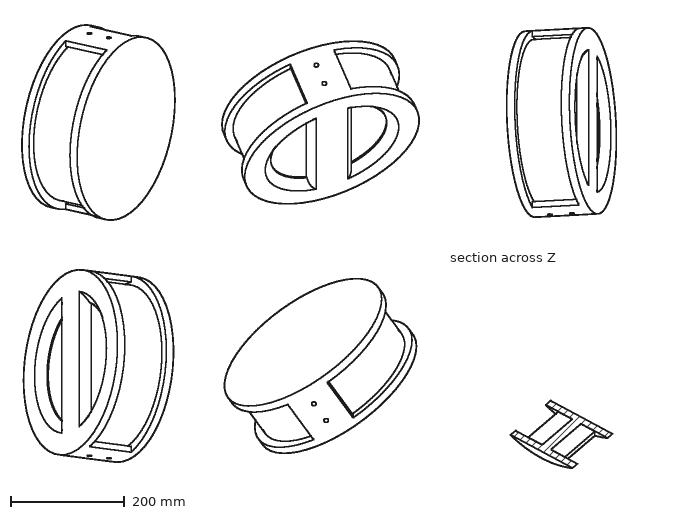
import cadquery as cq
import math

outer_diameter = 328.0
body_length = 114.0
flange_thickness = 14.8
drum_diameter = 297.2

bridge_width = 82.3
bridge_overlap = 0.3

pin_diameter = 8.0
pin_positions_x = (-18.7, 21.3)

opening_diameter = 251.0
seat_diameter = 217.8
cone_depth = 15.7
seat_step = 2.5

post_face_width = 59.5
post_base_width = 82.3
post_flank_radius = 16.5

outer_radius = outer_diameter / 2
drum_radius = drum_diameter / 2
front_face_x = -body_length / 2
drum_length = body_length - 2 * flange_thickness
cone_end_x = front_face_x + cone_depth
floor_x = cone_end_x + seat_step


def disc(diameter, start_x, length):
    """Solid cylinder along X from start_x."""
    return cq.Workplane("YZ", origin=(start_x, 0, 0)).circle(diameter / 2).extrude(length)


def make_spool():
    """Two flanges on a smaller drum."""
    drum = disc(drum_diameter, front_face_x, body_length)
    front_flange = disc(outer_diameter, front_face_x, flange_thickness)
    back_flange = disc(outer_diameter, body_length / 2 - flange_thickness, flange_thickness)
    return drum.union(front_flange).union(back_flange)


def make_bridge(side):
    """Flat-bottomed block on the drum, topped by the outer cylinder; side is +1 or -1 along Z."""
    underside = drum_radius - bridge_overlap
    height = outer_radius - underside
    block = cq.Workplane("XY").box(drum_length, bridge_width, height)
    block = block.translate((0, 0, side * (underside + height / 2)))
    return block.intersect(disc(outer_diameter, -drum_length / 2, drum_length))


def make_pin(pin_x):
    """Pin spanning the full height, with flat ends at the outer diameter."""
    pin = cq.Workplane("XY", origin=(pin_x, 0, -outer_radius))
    return pin.circle(pin_diameter / 2).extrude(outer_diameter)


def make_opening():
    """Conical recess ending in a short straight step."""
    profile = (
        cq.Workplane("XY")
        .moveTo(front_face_x, 0)
        .lineTo(front_face_x, opening_diameter / 2)
        .lineTo(cone_end_x, seat_diameter / 2)
        .lineTo(floor_x, seat_diameter / 2)
        .lineTo(floor_x, 0)
        .close()
    )
    return profile.revolve(360, (0, 0, 0), (1, 0, 0))


def make_post():
    """Post whose flanks curve outward from its face and meet the floor at full width."""
    face_half = post_face_width / 2
    base_half = post_base_width / 2
    arc_center_y = base_half - post_flank_radius
    arc_depth = math.sqrt(post_flank_radius**2 - (face_half - arc_center_y) ** 2)
    arc_end_x = front_face_x + arc_depth
    mid_angle = math.atan2(face_half - arc_center_y, arc_depth) / 2 + math.pi / 4
    mid_x = arc_end_x - post_flank_radius * math.cos(mid_angle)
    mid_y = arc_center_y + post_flank_radius * math.sin(mid_angle)
    profile = (
        cq.Workplane("XY", origin=(0, 0, -outer_radius))
        .moveTo(front_face_x, -face_half)
        .lineTo(front_face_x, face_half)
        .threePointArc((mid_x, mid_y), (arc_end_x, base_half))
        .lineTo(floor_x, base_half)
        .lineTo(floor_x, -base_half)
        .lineTo(arc_end_x, -base_half)
        .threePointArc((mid_x, -mid_y), (front_face_x, -face_half))
        .close()
    )
    return profile.extrude(outer_diameter)


result = make_spool()
for bridge_side in (1, -1):
    result = result.union(make_bridge(bridge_side))
result = result.cut(make_opening().cut(make_post()))
for pin_x in pin_positions_x:
    result = result.union(make_pin(pin_x))